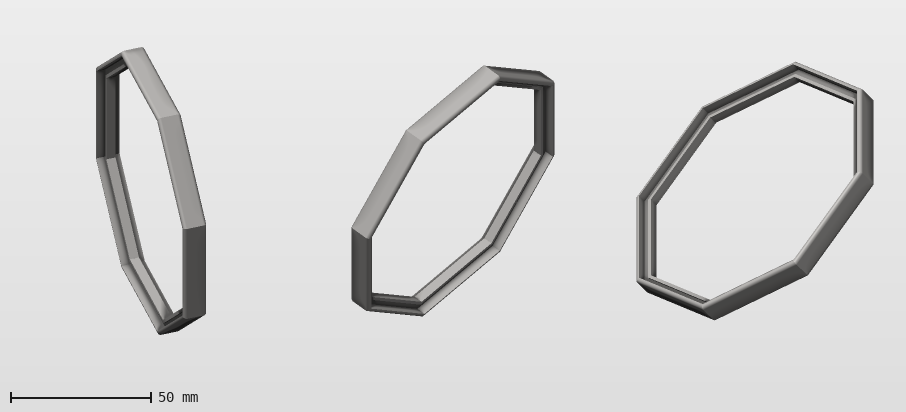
import cadquery as cq
import math

SIDES = 8
WIDTH = 98.6
DEPTH = 8.8
EDGE_RADIUS = 1.3
RIM_WALL = 1.6
LIP_INSET = 3.7
OPENING_INSET = 4.9
LIP_DEPTH = 2.7
FLOOR_DEPTH = 3.45
BACK_RECESS = 2.7


def octagon(inset, y_start, y_end):
    """Octagonal prism with flats set in from the outer flats."""
    diameter = (WIDTH - 2 * inset) / math.cos(math.pi / SIDES)
    return (
        cq.Workplane("XZ", origin=(0, y_start, 0))
        .transformed(rotate=(0, 0, 180 / SIDES))
        .polygon(SIDES, diameter)
        .extrude(y_start - y_end)
    )


body = octagon(0, 0, DEPTH).faces("<Y or >Y").edges().fillet(EDGE_RADIUS)

recess = octagon(RIM_WALL, 0, FLOOR_DEPTH)
lip = octagon(LIP_INSET, LIP_DEPTH, FLOOR_DEPTH)
front_cut = recess.cut(lip)

back_cut = octagon(RIM_WALL, DEPTH - BACK_RECESS, DEPTH)
opening = octagon(OPENING_INSET, 0, DEPTH)

result = body.cut(front_cut).cut(back_cut).cut(opening)